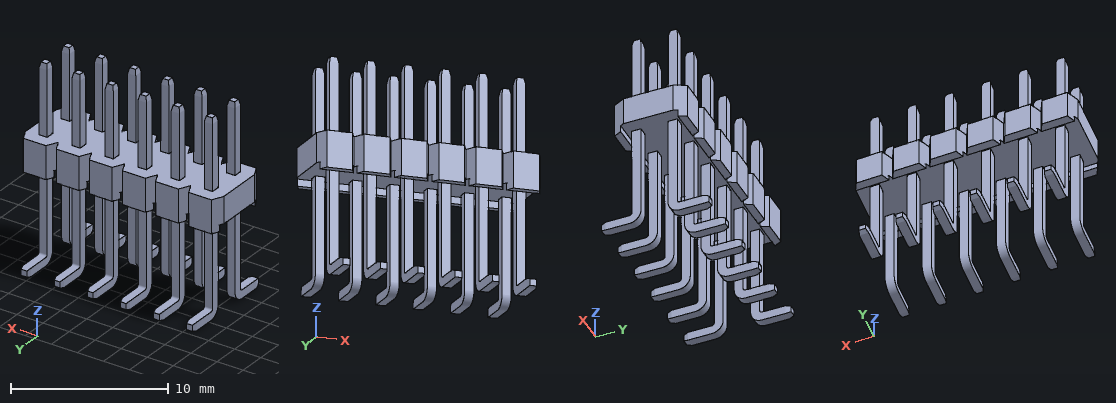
import cadquery as cq

columns = 6
length = 15.24
pitch = length / columns
foot_span = 7.5
total_height = 14.57

body_depth = 2 * pitch
body_top = 9.3
body_height = 2.47
body_bottom = body_top - body_height
notch_width = 0.4
notch_depth = 0.81
rail_height = 0.47
rail_depth = 0.55

pin_width = 0.64
bend_inner_radius = 0.17
bend_outer_radius = bend_inner_radius + pin_width
tip_width = 0.45
top_tip_length = 0.41
foot_tip_length = 0.35

row_y = pitch / 2


def column_x(index):
    """X position of a column, with the row centred on X = 0."""
    return (index - (columns - 1) / 2) * pitch


def body_outline():
    """Top outline: one chamfered cell per column, joined at the V notches."""
    half_flat = pitch / 2 - notch_width
    edge_y = body_depth / 2
    valley_y = edge_y - notch_depth
    front = [(-length / 2, -valley_y)]
    for index in range(columns):
        x = column_x(index)
        front.append((x - half_flat, -edge_y))
        front.append((x + half_flat, -edge_y))
        front.append((x + pitch / 2, -valley_y))
    back = [(-x, -y) for x, y in front]
    return front + back


def make_body():
    block = (
        cq.Workplane("XY")
        .workplane(offset=body_bottom)
        .polyline(body_outline())
        .close()
        .extrude(body_height)
    )
    underside = cq.Workplane("XY").box(
        length, body_depth - 2 * rail_depth, rail_height, centered=(True, True, False)
    )
    return block.cut(underside.translate((0, 0, body_bottom)))


def make_tip(tip_length):
    """Tapered square end, standing on the XY plane and pointing along +Z."""
    return (
        cq.Workplane("XY")
        .rect(pin_width, pin_width)
        .workplane(offset=tip_length)
        .rect(tip_width, tip_width)
        .loft(ruled=True)
    )


def make_front_pin():
    """Pin of the front row at X = 0, with its foot bent towards -Y."""
    inner_y = -row_y + pin_width / 2
    outer_y = -row_y - pin_width / 2
    bend_y = inner_y - bend_outer_radius
    shank_top = total_height - top_tip_length
    foot_end = foot_tip_length - foot_span / 2

    shank_length = shank_top - bend_outer_radius
    shank = cq.Workplane("XY").box(pin_width, pin_width, shank_length, centered=(True, True, False))
    shank = shank.translate((0, -row_y, bend_outer_radius))

    foot_length = bend_y - foot_end
    foot = cq.Workplane("XY").box(pin_width, foot_length, pin_width, centered=(True, False, False))
    foot = foot.translate((0, foot_end, 0))

    bend = (
        cq.Workplane("YZ")
        .moveTo(inner_y, bend_outer_radius)
        .radiusArc((bend_y, 0), bend_outer_radius)
        .lineTo(bend_y, pin_width)
        .radiusArc((outer_y, bend_outer_radius), -bend_inner_radius)
        .close()
        .extrude(pin_width / 2, both=True)
    )
    top_tip = make_tip(top_tip_length).translate((0, -row_y, shank_top))
    foot_tip = (
        make_tip(foot_tip_length)
        .rotate((0, 0, 0), (1, 0, 0), 90)
        .translate((0, foot_end, pin_width / 2))
    )
    return shank.union(bend).union(foot).union(top_tip).union(foot_tip)


front_pin = make_front_pin()
back_pin = front_pin.mirror("XZ")

result = make_body()
for index in range(columns):
    for pin in (front_pin, back_pin):
        result = result.union(pin.translate((column_x(index), 0, 0)))